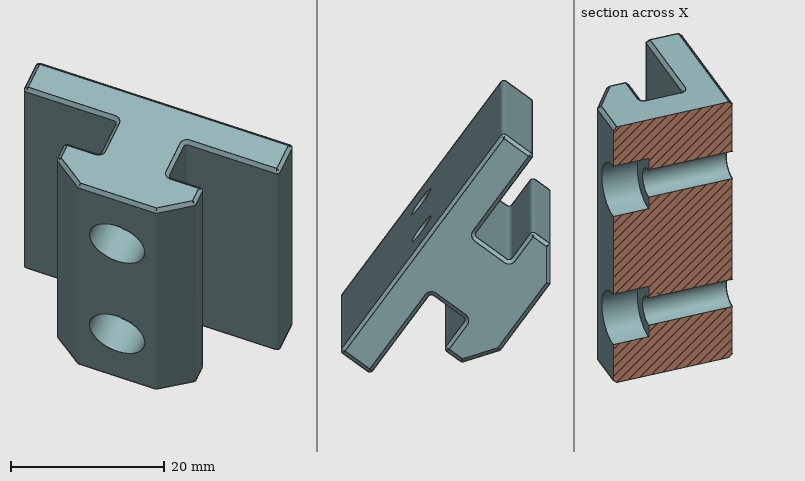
import cadquery as cq

length = 40.0
depth = 16.8

plate_width = 36.0
plate_thickness = 5.0
neck_width = 9.55
neck_height = 5.8
head_width = 19.5
head_side_height = 2.9
head_face_width = 11.0

edge_chamfer = 0.5
edge_fillet = 0.5

hole_diameter = 4.2
counterbore_diameter = 7.8
counterbore_depth = 5.0
hole_count = 2
hole_spacing = 20.0

head_front = -depth / 2
plate_back = depth / 2
plate_front = plate_back - plate_thickness
head_back = plate_front - neck_height
taper_start = head_back - head_side_height


def make_rail():
    """T-shaped rail with rounded long edges and chamfered ends."""
    right_side = [
        (head_face_width / 2, head_front),
        (head_width / 2, taper_start),
        (head_width / 2, head_back),
        (neck_width / 2, head_back),
        (neck_width / 2, plate_front),
        (plate_width / 2, plate_front),
        (plate_width / 2, plate_back),
    ]
    left_side = [(-x, y) for x, y in reversed(right_side)]
    rail = cq.Workplane("XY").polyline(right_side + left_side).close().extrude(length)
    rail = rail.edges("|Z").fillet(edge_fillet)
    return rail.faces("<Z or >Z").chamfer(edge_chamfer)


def make_screw_holes():
    """Through holes with counterbores that open on the head face, to be cut from the rail."""
    bores = make_pins(hole_diameter, depth)
    counterbores = make_pins(counterbore_diameter, counterbore_depth)
    return bores.union(counterbores)


def make_pins(diameter, pin_length):
    """A row of round pins running back from the head face, centred along the length."""
    return (
        cq.Workplane("XZ", origin=(0, head_front, length / 2))
        .rarray(1, hole_spacing, 1, hole_count)
        .circle(diameter / 2)
        .extrude(-pin_length)
    )


result = make_rail().cut(make_screw_holes())